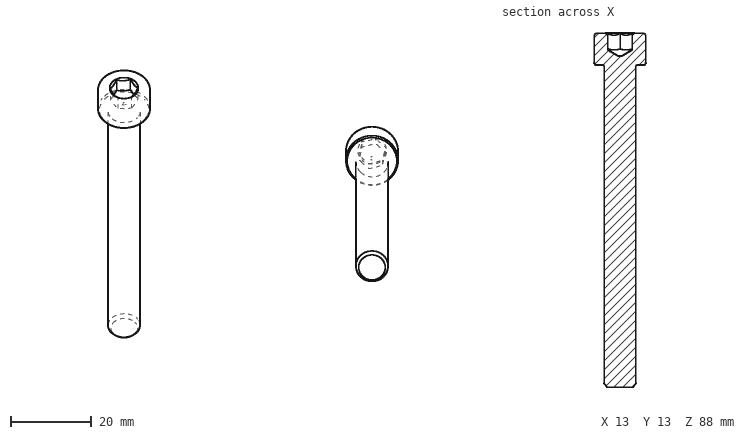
import cadquery as cq
import math

total_length = 88.0
head_diameter = 13.0
shank_diameter = 8.0
head_height = shank_diameter
thread_length = 28.0

head_top_fillet = 0.9
head_bottom_chamfer_height = 0.5
head_bottom_chamfer_width = 0.35
underhead_fillet = 0.35
tip_chamfer_height = 1.0
tip_chamfer_width = 0.7

socket_across_flats = 6.0
socket_depth = 4.0
socket_mouth_diameter = 7.1
floor_tip_diameter = 0.9
floor_cone_angle = 120.0

head_radius = head_diameter / 2
shank_radius = shank_diameter / 2
shank_length = total_length - head_height


def make_cone(lower_radius, upper_radius, lower_z, height):
    return cq.Workplane(cq.Solid.makeCone(lower_radius, upper_radius, height, cq.Vector(0, 0, lower_z)))


def make_head():
    """Half profile of the head, revolved: chamfered seat and rounded top edge."""
    seat_radius = head_radius - head_bottom_chamfer_width
    return (
        cq.Workplane("XZ")
        .moveTo(0, shank_length)
        .lineTo(seat_radius, shank_length)
        .lineTo(head_radius, shank_length + head_bottom_chamfer_height)
        .lineTo(head_radius, total_length - head_top_fillet)
        .radiusArc((head_radius - head_top_fillet, total_length), -head_top_fillet)
        .lineTo(0, total_length)
        .close()
        .revolve(360, (0, 0, 0), (0, 1, 0))
    )


def make_thread():
    """Threaded length, drawn at its outer diameter and tapered at the tip."""
    tip_radius = shank_radius - tip_chamfer_width
    tip = make_cone(tip_radius, shank_radius, 0, tip_chamfer_height)
    body = (
        cq.Workplane("XY")
        .workplane(offset=tip_chamfer_height)
        .circle(shank_radius)
        .extrude(thread_length - tip_chamfer_height)
    )
    return tip.union(body, clean=False)


def make_plain_shank():
    """Plain length between thread and head, flaring into a fillet under the head."""
    flare_radius = shank_radius + underhead_fillet
    return (
        cq.Workplane("XZ")
        .moveTo(0, thread_length)
        .lineTo(shank_radius, thread_length)
        .lineTo(shank_radius, shank_length - underhead_fillet)
        .radiusArc((flare_radius, shank_length), underhead_fillet)
        .lineTo(0, shank_length)
        .close()
        .revolve(360, (0, 0, 0), (0, 1, 0))
    )


def make_socket():
    """Hexagonal recess with a conical floor reaching its corners and a 45 degree lead-in."""
    flat_radius = socket_across_flats / 2
    corner_radius = flat_radius / math.cos(math.pi / 6)
    floor_tip_radius = floor_tip_diameter / 2
    cone_depth = (corner_radius - floor_tip_radius) / math.tan(math.radians(floor_cone_angle / 2))
    floor_z = total_length - socket_depth
    bottom_z = floor_z - cone_depth
    hexagon = (
        cq.Workplane("XY")
        .workplane(offset=bottom_z)
        .polygon(6, 2 * corner_radius)
        .extrude(total_length - bottom_z)
    )
    floor_cone = make_cone(floor_tip_radius, corner_radius, bottom_z, cone_depth)
    bore = cq.Workplane("XY").workplane(offset=floor_z).circle(corner_radius).extrude(socket_depth)
    recess = hexagon.intersect(floor_cone.union(bore))

    mouth_radius = socket_mouth_diameter / 2
    lead_in_depth = mouth_radius - flat_radius
    lead_in = make_cone(flat_radius, mouth_radius, total_length - lead_in_depth, lead_in_depth)
    return recess.union(lead_in)


shank = make_thread().union(make_plain_shank(), clean=False)
result = make_head().union(shank, clean=False).cut(make_socket(), clean=False)